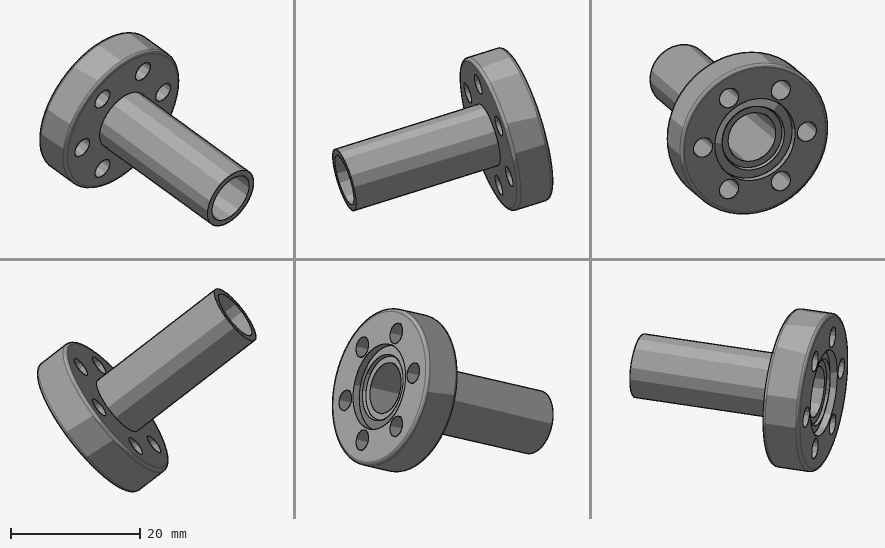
import cadquery as cq

total_length = 30.0
flange_diameter = 24.8
flange_thickness = 6.0
flange_edge_radius = 0.5
tube_diameter = 10.0
bore_diameter = 8.0

recess_diameter = 13.5
recess_depth = 1.2
knife_edge_diameter = 10.47
knife_edge_depth = 0.65
seat_diameter = 10.08
seat_depth = 1.2

bolt_count = 6
bolt_hole_diameter = 3.2
bolt_circle_diameter = 17.45


def cylinder_along_x(diameter, length):
    return cq.Workplane("YZ").circle(diameter / 2).extrude(length)


def make_flange():
    """Flange disc with both rims rounded."""
    disc = cylinder_along_x(flange_diameter, flange_thickness)
    return disc.edges().fillet(flange_edge_radius)


def make_sealing_recess():
    """Revolved cutter: recess wall, knife edge cone and seat around the bore."""
    return (
        cq.Workplane("XY")
        .moveTo(0, 0)
        .lineTo(0, recess_diameter / 2)
        .lineTo(recess_depth, recess_diameter / 2)
        .lineTo(knife_edge_depth, knife_edge_diameter / 2)
        .lineTo(seat_depth, seat_diameter / 2)
        .lineTo(seat_depth, 0)
        .close()
        .revolve(360, (0, 0, 0), (1, 0, 0))
    )


def make_bolt_holes():
    """Through holes evenly spaced on the bolt circle, the first on the Y axis."""
    return (
        cq.Workplane("YZ")
        .polarArray(bolt_circle_diameter / 2, 0, 360, bolt_count)
        .circle(bolt_hole_diameter / 2)
        .extrude(flange_thickness)
    )


body = make_flange().union(cylinder_along_x(tube_diameter, total_length))
bore = cylinder_along_x(bore_diameter, total_length)
result = body.cut(bore).cut(make_sealing_recess()).cut(make_bolt_holes())